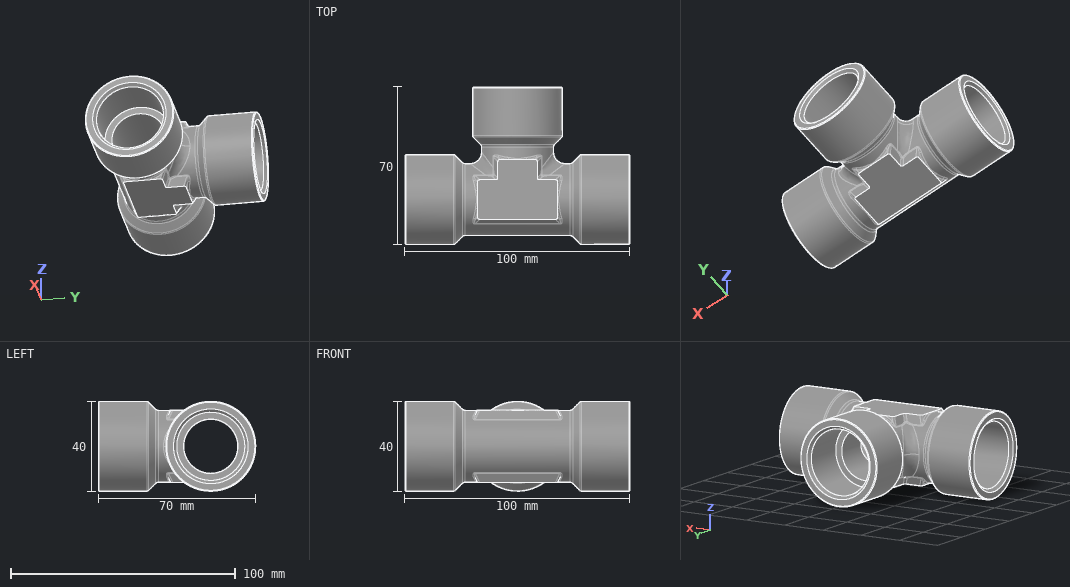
import cadquery as cq
import math

end_reach = 50.0
collar_radius = 20.0
collar_length = 22.0
collar_edge_fillet = 1.0
neck_radius = 16.02
neck_fillet = 1.8
mouth_edge_chamfer = 0.4
crotch_fillet = 5.0

bore_radius = 12.0
socket_radius = 15.15
socket_depth = 22.0
mouth_radius = 16.6
mouth_chamfer = mouth_radius - socket_radius

pad_top = 16.1
pad_half_width = 8.8
pad_reach = 17.8
pad_draft = 25.0
pad_height = 6.0
pad_corner_fillet = 1.0
pad_base_fillet = 1.0
seam_tolerance = 1e-4

cone_length = collar_radius - neck_radius
collar_start = end_reach - collar_length
cone_start = collar_start - cone_length

ARM_ANGLES = (0, 90, 180)


def around_x(profile):
    """Close a profile along the X axis and revolve it about that axis."""
    return profile.close().revolve(360, (0, 0, 0), (1, 0, 0))


def circle_at(x):
    """Selector for the circular edge around X centred nearest to the given x."""
    return cq.selectors.NearestToPointSelector((x, 0, 0))


def on_arm(shape, angle):
    """Turn a shape made on the +X arm to the arm at the given angle."""
    return shape.rotate((0, 0, 0), (0, 0, 1), angle)


def neck_core():
    """Crossing neck cylinders with the two crotches filleted."""
    run = cq.Workplane("YZ").circle(neck_radius).extrude(cone_start, both=True)
    branch = cq.Workplane("XZ").circle(neck_radius).extrude(-cone_start)
    core = run.union(branch)
    crossing = cq.selectors.BoxSelector(
        (-neck_radius, 0, -neck_radius), (neck_radius, neck_radius, neck_radius)
    )
    return core.edges(crossing).fillet(crotch_fillet)


def collar():
    """Collar on the +X arm with its 45 degree cone and a short length of neck."""
    neck_end = cone_start - neck_fillet
    ring = around_x(
        cq.Workplane("XY")
        .moveTo(neck_end, 0)
        .lineTo(neck_end, neck_radius)
        .lineTo(cone_start, neck_radius)
        .lineTo(collar_start, collar_radius)
        .lineTo(end_reach, collar_radius)
        .lineTo(end_reach, 0)
    )
    ring = ring.faces(">X").edges().chamfer(mouth_edge_chamfer)
    ring = ring.edges(circle_at(collar_start)).fillet(collar_edge_fillet)
    return ring.edges(circle_at(cone_start)).fillet(neck_fillet)


def arm_bore():
    """Space inside the +X arm: bore, socket and mouth chamfer."""
    shoulder = end_reach - socket_depth
    return around_x(
        cq.Workplane("XY")
        .lineTo(0, bore_radius)
        .lineTo(shoulder, bore_radius)
        .lineTo(shoulder, socket_radius)
        .lineTo(end_reach - mouth_chamfer, socket_radius)
        .lineTo(end_reach, mouth_radius)
        .lineTo(end_reach, 0)
    )


def tee_outline(plane, margin):
    """Add the pad outline, grown outward by margin on every side, to the plane."""
    reach = pad_reach + margin
    half_width = pad_half_width + margin
    return (
        plane.moveTo(-reach, -half_width)
        .lineTo(reach, -half_width)
        .lineTo(reach, half_width)
        .lineTo(half_width, half_width)
        .lineTo(half_width, reach)
        .lineTo(-half_width, reach)
        .lineTo(-half_width, half_width)
        .lineTo(-reach, half_width)
        .close()
    )


def top_pad():
    """Tee-shaped pad with drafted walls, widening downward from its flat top."""
    spread = pad_height * math.tan(math.radians(pad_draft))
    top = tee_outline(cq.Workplane("XY", origin=(0, 0, pad_top)), 0)
    pad = tee_outline(top.workplane(offset=-pad_height), spread).loft(ruled=True)
    return pad.edges("not(|X or |Y)").fillet(pad_corner_fillet)


def add_pad(body, pad):
    """Join a pad to the body and fillet the seam all around its base."""
    joined = body.union(pad)
    body_shell = body.val().Shells()[0]
    pad_shell = pad.val().Shells()[0]

    def on_seam(edge):
        middle = cq.Vertex.makeVertex(*edge.positionAt(0.5).toTuple())
        return max(middle.distance(body_shell), middle.distance(pad_shell)) < seam_tolerance

    seam = [edge for edge in joined.edges().vals() if on_seam(edge)]
    return joined.newObject(seam).fillet(pad_base_fillet)


result = neck_core()
pad = top_pad()
for side_pad in (pad, pad.mirror("XY")):
    result = add_pad(result, side_pad)
for angle in ARM_ANGLES:
    result = result.union(on_arm(collar(), angle))
for angle in ARM_ANGLES:
    result = result.cut(on_arm(arm_bore(), angle))